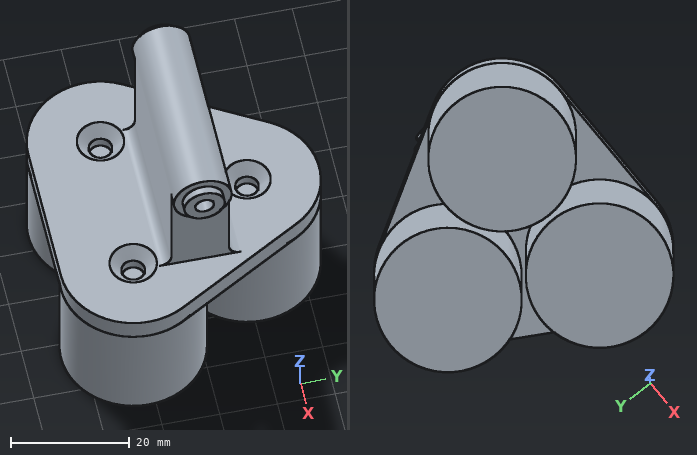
import cadquery as cq
import math

foot_diameter = 25.0
foot_height = 20.0
foot_pitch = 51.0 - foot_diameter
row_spacing = foot_pitch * math.sqrt(3) / 2
foot_centers = [
    (-foot_pitch / 2, -row_spacing / 2),
    (foot_pitch / 2, -row_spacing / 2),
    (0, row_spacing / 2),
]

plate_thickness = 4.0
plate_top = foot_height + plate_thickness
corner_radius = foot_diameter / 2

screw_diameter = 4.0
countersink_diameter = 8.0
countersink_angle = 90

total_height = 49.0
barrel_diameter = 10.0
barrel_length = 33.15
collar_diameter = 7.0
collar_overall_length = 36.0
bore_diameter = 3.2
axis_height = total_height - barrel_diameter / 2
web_length = 29.0
web_fillet = 2.0


def cylinder_along_x(diameter, length):
    """Cylinder on the hinge axis, centred on X = 0."""
    return (
        cq.Workplane("YZ", origin=(-length / 2, 0, axis_height))
        .circle(diameter / 2)
        .extrude(length)
    )


def make_foot(center):
    return cq.Workplane("XY").center(*center).circle(foot_diameter / 2).extrude(foot_height)


def make_plate():
    return (
        cq.Workplane("XY", origin=(0, 0, foot_height))
        .polyline(foot_centers)
        .close()
        .offset2D(corner_radius)
        .extrude(plate_thickness)
    )


def make_web():
    """Upright web with concave fillets where its long sides meet the plate."""
    half_thickness = barrel_diameter / 2
    half_root = half_thickness + web_fillet
    fillet_top = plate_top + web_fillet
    return (
        cq.Workplane("YZ", origin=(-web_length / 2, 0, 0))
        .moveTo(-half_root, plate_top)
        .radiusArc((-half_thickness, fillet_top), -web_fillet)
        .lineTo(-half_thickness, axis_height)
        .lineTo(half_thickness, axis_height)
        .lineTo(half_thickness, fillet_top)
        .radiusArc((half_root, plate_top), -web_fillet)
        .close()
        .extrude(web_length)
    )


def make_hinge_plate():
    body = (
        make_plate()
        .union(make_web())
        .union(cylinder_along_x(barrel_diameter, barrel_length))
        .union(cylinder_along_x(collar_diameter, collar_overall_length))
        .cut(cylinder_along_x(bore_diameter, collar_overall_length))
    )
    return (
        body.copyWorkplane(cq.Workplane("XY", origin=(0, 0, plate_top)))
        .pushPoints(foot_centers)
        .cskHole(screw_diameter, countersink_diameter, countersink_angle, depth=plate_thickness)
    )


hinge_plate = make_hinge_plate()
feet = [make_foot(center) for center in foot_centers]

result = cq.Compound.makeCompound([hinge_plate.val(), *[foot.val() for foot in feet]])